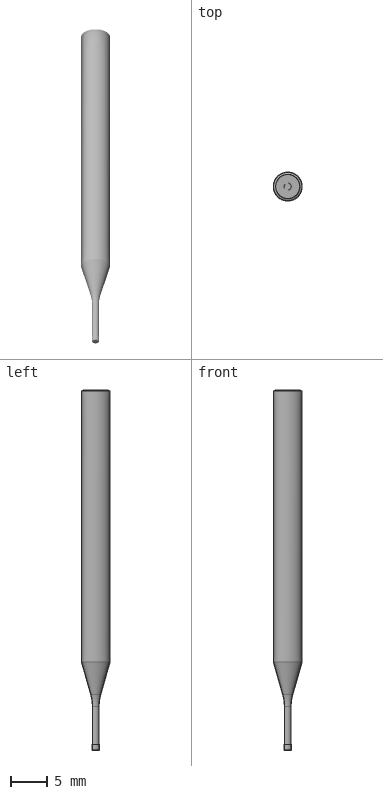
import cadquery as cq
import math

total_length = 50.0
shank_radius = 2.0

head_radius = 0.5
head_length = 0.8
head_corner_radius = 0.1

neck_radius = 0.47
neck_end = 6.1
blend_radius = 6.0
cone_half_angle = math.radians(16)

end_chamfer_width = 0.325
end_chamfer_height = 0.2


def blend_point(angle):
    """Point (radius, Z) on the blend arc, at an angle from its tangent point on the neck."""
    radius = neck_radius + blend_radius * (1 - math.cos(angle))
    height = neck_end + blend_radius * math.sin(angle)
    return radius, height


def revolve_about_z(profile):
    """Turn a closed (radius, Z) profile about the Z axis."""
    return profile.revolve(360, (0, 0, 0), (0, 1, 0))


def make_cutting_head():
    """Short cylinder with a rounded lower corner."""
    head = cq.Workplane("XY").circle(head_radius).extrude(head_length)
    return head.faces("<Z").edges().fillet(head_corner_radius)


def make_shank():
    """Neck, blend, cone and chamfered shank, turned as one body on top of the head."""
    cone_start_radius, cone_start = blend_point(cone_half_angle)
    cone_end = cone_start + (shank_radius - cone_start_radius) / math.tan(cone_half_angle)
    profile = (
        cq.Workplane("XZ")
        .moveTo(0, head_length)
        .lineTo(neck_radius, head_length)
        .lineTo(neck_radius, neck_end)
        .threePointArc(blend_point(cone_half_angle / 2), (cone_start_radius, cone_start))
        .lineTo(shank_radius, cone_end)
        .lineTo(shank_radius, total_length - end_chamfer_height)
        .lineTo(shank_radius - end_chamfer_width, total_length)
        .lineTo(0, total_length)
        .close()
    )
    return revolve_about_z(profile)


cutting_head = make_cutting_head()
shank = make_shank()

result = cq.Compound.makeCompound([cutting_head.val(), shank.val()])